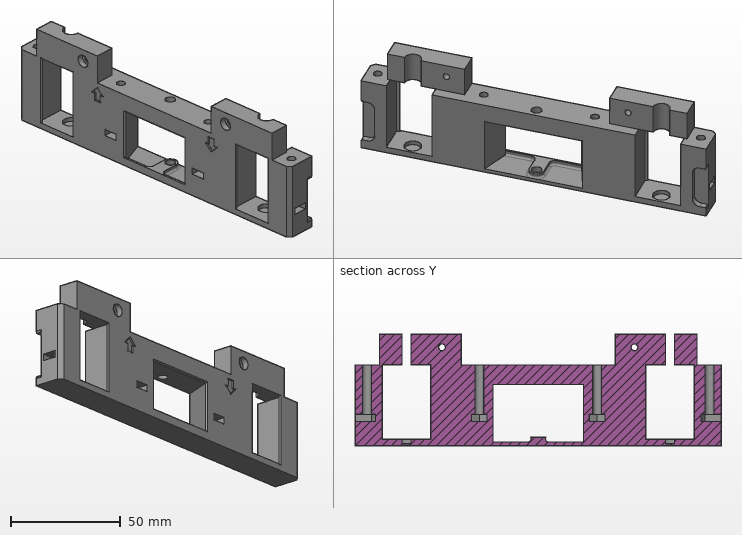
import cadquery as cq
import math

LENGTH = 167.0
DEPTH = 15.0
BASE_HEIGHT = 36.9
HEIGHT = 51.0
FRONT_CHAMFER = 2.0

TAB_INNER_X = 35.0
TAB_OUTER_X = 72.5
TAB_DEPTH = 10.0

LIP_INSET = 0.5
LIP_DEPTH = 1.0

WINDOW_X = 60.1
WINDOW_WIDTH = 20.0
WINDOW_FLOOR = 3.0
WINDOW_UNDERCUT = 1.0
POST_DIAMETER = 8.0
POST_Y = 10.0
POST_SOCKET_DEPTH = 2.0

CENTRE_WIDTH = 37.7
CENTRE_BOTTOM = 4.0
CENTRE_TOP = 28.4
FLARE_ANGLE = math.radians(21.0)
POCKET_FLOOR = 1.8
BOSS_WIDTH = 7.0
BOSS_CORNER = 2.5
BOSS_FOOT = 1.0
PIN_DIAMETER = 4.8
PIN_Y = 10.9
PIN_SOCKET_DEPTH = 3.0

BORE_DIAMETER = 4.0
BORE_Y = 7.0
BORE_OUTER_X = 78.2
BORE_INNER_X = 26.9
NUT_WIDTH = 7.0
NUT_BOTTOM = 11.2
NUT_HEIGHT = 3.2
HEXAGON_HALF_ANGLE = math.radians(30)

SCREW_X = 44.0
SCREW_Z = 45.0
SCREW_DIAMETER = 3.0
SCREW_HEAD_DIAMETER = 6.0
SCREW_HEAD_DEPTH = 3.0

RECESS_BOTTOM = 4.5
RECESS_TOP = 25.7
RECESS_DEPTH = 3.0
RECESS_LENGTH = 6.7
RECESS_CORNER = 3.5
RECESS_MOUTH = 1.0
RECESS_MOUTH_LENGTH = 0.3

ARROW_X = 35.0
ARROW_LOW = 27.2
ARROW_HIGH = 34.4
ARROW_HEAD = 3.5
ARROW_HALF_WIDTH = 3.5
ARROW_STEM_HALF_WIDTH = 1.8
ARROW_DEPTH = 1.0


def block(x, y, z):
    """Box spanning the given (low, high) pairs along X, Y and Z."""
    size = (x[1] - x[0], y[1] - y[0], z[1] - z[0])
    return cq.Workplane("XY").box(*size, centered=False).translate((x[0], y[0], z[0]))


def prism(outline, low, high):
    """Vertical prism over an outline of (X, Y) points."""
    return cq.Workplane("XY", origin=(0, 0, low)).polyline(outline).close().extrude(high - low)


def rectangle(half_width, low, high):
    """Corner points of a rectangle centred about the middle of the bar."""
    return [(-half_width, low), (half_width, low), (half_width, high), (-half_width, high)]


def upright(x, y, diameter, low, high):
    """Vertical cylinder between two heights."""
    return cq.Workplane("XY", origin=(x, y, low)).circle(diameter / 2).extrude(high - low)


def from_front(x, z, diameter, depth):
    """Cylinder running from the front face towards the rear."""
    return cq.Workplane("XZ", origin=(x, 0, z)).circle(diameter / 2).extrude(-depth)


def both_ends(shape):
    """The shape together with its mirror image about the middle of the bar."""
    return shape.union(shape.mirror("YZ"))


def body():
    base = block((-LENGTH / 2, LENGTH / 2), (0, DEPTH), (0, BASE_HEIGHT))
    base = base.faces("<Y").edges("|Z").chamfer(FRONT_CHAMFER)
    tab = block((TAB_INNER_X, TAB_OUTER_X), (0, TAB_DEPTH), (0, HEIGHT))
    return base.union(both_ends(tab))


def outer_window():
    inner = WINDOW_X - WINDOW_WIDTH / 2
    outer = WINDOW_X + WINDOW_WIDTH / 2
    mouth = prism(
        [(inner, 0), (outer, 0), (outer - LIP_INSET, LIP_DEPTH), (inner, LIP_DEPTH)],
        WINDOW_FLOOR, BASE_HEIGHT,
    )
    cavity_x = (inner - WINDOW_UNDERCUT, outer + WINDOW_UNDERCUT)
    cavity = block(cavity_x, (LIP_DEPTH, DEPTH), (WINDOW_FLOOR, BASE_HEIGHT))
    post = upright(WINDOW_X, POST_Y, POST_DIAMETER, BASE_HEIGHT, HEIGHT)
    socket = upright(WINDOW_X, POST_Y, POST_DIAMETER, WINDOW_FLOOR - POST_SOCKET_DEPTH, WINDOW_FLOOR)
    return mouth.union(cavity).union(post).union(socket)


def centre_pocket_floor(outline):
    """Sunken floor on both sides of the round-ended boss that carries the pin socket."""
    floor = prism(outline, POCKET_FLOOR, CENTRE_BOTTOM)
    boss = block((-BOSS_WIDTH / 2, BOSS_WIDTH / 2), (0, PIN_Y), (0, CENTRE_BOTTOM))
    boss = boss.union(upright(0, PIN_Y, BOSS_WIDTH, 0, CENTRE_BOTTOM))
    floor = floor.cut(boss)
    corner_x = BOSS_WIDTH / 2
    for x in (-corner_x, corner_x):
        corner = cq.selectors.NearestToPointSelector((x, LIP_DEPTH, (POCKET_FLOOR + CENTRE_BOTTOM) / 2))
        floor = floor.edges(corner).fillet(BOSS_CORNER)
    foot = cq.selectors.NearestToPointSelector((0, PIN_Y + corner_x, POCKET_FLOOR))
    return floor.edges(foot).fillet(BOSS_FOOT)


def centre_window():
    half = CENTRE_WIDTH / 2
    throat = half - LIP_INSET
    rear = DEPTH + BOSS_FOOT
    rear_half = throat + (rear - LIP_DEPTH) * math.tan(FLARE_ANGLE)
    pocket = [(throat, LIP_DEPTH), (rear_half, rear), (-rear_half, rear), (-throat, LIP_DEPTH)]
    opening = prism(pocket, CENTRE_BOTTOM, CENTRE_TOP - LIP_INSET)
    mouth = cq.Workplane("XZ").polyline(rectangle(half, CENTRE_BOTTOM, CENTRE_TOP)).close()
    mouth = mouth.workplane(offset=-LIP_DEPTH)
    mouth = mouth.polyline(rectangle(throat, CENTRE_BOTTOM, CENTRE_TOP - LIP_INSET)).close().loft(ruled=True)
    pin_hole = upright(0, PIN_Y, PIN_DIAMETER, CENTRE_BOTTOM - PIN_SOCKET_DEPTH, BASE_HEIGHT)
    return opening.union(mouth).union(centre_pocket_floor(pocket)).union(pin_hole)


def nut_trap(axis_depth):
    """Slot for a hexagonal nut, entered along +Y from the origin and ending in the nut's far corner."""
    half = NUT_WIDTH / 2
    flat_end = axis_depth + half * math.tan(HEXAGON_HALF_ANGLE)
    tip = axis_depth + half / math.cos(HEXAGON_HALF_ANGLE)
    outline = [(-half, 0), (half, 0), (half, flat_end), (0, tip), (-half, flat_end)]
    return prism(outline, NUT_BOTTOM, NUT_BOTTOM + NUT_HEIGHT)


def bores():
    cutter = nut_trap(BORE_Y).translate((BORE_INNER_X, 0, 0))
    side_trap = nut_trap(LENGTH / 2 - BORE_OUTER_X).rotate((0, 0, 0), (0, 0, 1), 90)
    cutter = cutter.union(side_trap.translate((LENGTH / 2, BORE_Y, 0)))
    for x in (BORE_INNER_X, BORE_OUTER_X):
        cutter = cutter.union(upright(x, BORE_Y, BORE_DIAMETER, NUT_BOTTOM, BASE_HEIGHT))
    return cutter


def screw_hole():
    hole = from_front(SCREW_X, SCREW_Z, SCREW_DIAMETER, TAB_DEPTH)
    return hole.union(from_front(SCREW_X, SCREW_Z, SCREW_HEAD_DIAMETER, SCREW_HEAD_DEPTH))


def end_recess():
    """Rear recess with rounded inner corners and a mouth that widens at the end face."""
    depth = (DEPTH - RECESS_DEPTH, DEPTH)
    end = LENGTH / 2
    recess = block((end - RECESS_LENGTH, end), depth, (RECESS_BOTTOM, RECESS_TOP))
    recess = recess.faces("<X").edges("|Y").fillet(RECESS_CORNER)
    outline = [
        (end - RECESS_MOUTH_LENGTH, RECESS_BOTTOM), (end, RECESS_BOTTOM - RECESS_MOUTH),
        (end, RECESS_TOP + RECESS_MOUTH), (end - RECESS_MOUTH_LENGTH, RECESS_TOP),
    ]
    mouth = cq.Workplane("XZ", origin=(0, depth[0], 0)).polyline(outline).close().extrude(-RECESS_DEPTH)
    return recess.union(mouth)


def arrow(x, tail, tip):
    """Shallow arrow on the front face, pointing from the tail height to the tip height."""
    shoulder = tip - math.copysign(ARROW_HEAD, tip - tail)
    right_side = [(ARROW_STEM_HALF_WIDTH, tail), (ARROW_STEM_HALF_WIDTH, shoulder), (ARROW_HALF_WIDTH, shoulder)]
    left_side = [(-px, pz) for px, pz in reversed(right_side)]
    outline = cq.Workplane("XZ", origin=(x, 0, 0)).polyline(right_side + [(0, tip)] + left_side).close()
    return outline.extrude(-ARROW_DEPTH)


result = body().cut(centre_window())
for feature in (outer_window(), bores(), screw_hole(), end_recess()):
    result = result.cut(both_ends(feature))
result = result.cut(arrow(-ARROW_X, ARROW_LOW, ARROW_HIGH))
result = result.cut(arrow(ARROW_X, ARROW_HIGH, ARROW_LOW))